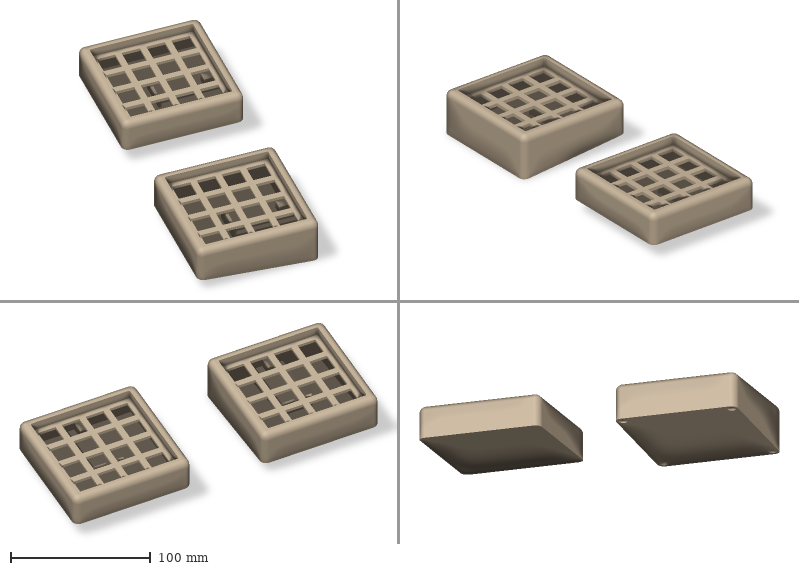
import cadquery as cq
import math

total_length = 243.2
case_side = 93.1
unit_spacing = total_length - case_side
half_side = case_side / 2

case_top = 24.5
lid_height = 10.0
lid_bottom = case_top - lid_height
tilt_depth = 10.5
tilt_slope = math.tan(math.radians(5.0))

corner_radius = 5.0
top_round = 4.9
wall = 5.0
inner_side = case_side - 2 * wall
inner_back = inner_side / 2
flat_floor_thickness = 1.5
tilted_floor_thickness = 3.5

window_side = 79.3
window_depth = 7.0
window_corner_radius = 1.0
plate_top = case_top - window_depth
key_hole_side = 14.0
keys_per_side = 4
first_to_last_key = 57.1
key_pitch = first_to_last_key / (keys_per_side - 1)
clip_thickness = 1.5
clip_relief = 0.5

board_width = 17.5
board_front = -3.5
board_thickness = 1.5
connector_width = 7.3
connector_front = 31.5
connector_height = 6.3
tray_width = 25.3
stop_front = -6.5
stop_depth = 2.2
stop_height = 6.3

head_diameter = 6.0
head_depth = 2.0
head_spacing = case_side - 2 * corner_radius


def make_bar(width, y_front, y_back, z_bottom, z_top):
    """Rectangular block centred on X, given by its ends along Y and Z."""
    middle = (y_front + y_back) / 2
    bar = cq.Workplane("XY", origin=(0, middle, z_bottom))
    return bar.rect(width, y_back - y_front).extrude(z_top - z_bottom)


def make_square_block(side, z_bottom, z_top):
    """Square block centred on X and Y, between two heights."""
    return make_bar(side, -side / 2, side / 2, z_bottom, z_top)


def make_case_block(z_bottom, z_top):
    """Outer case shape with rounded upright corners."""
    return make_square_block(case_side, z_bottom, z_top).edges("|Z").fillet(corner_radius)


def make_key_holes(side, z_bottom, z_top):
    """Grid of square key openings."""
    grid = cq.Workplane("XY", origin=(0, 0, z_bottom))
    grid = grid.rarray(key_pitch, key_pitch, keys_per_side, keys_per_side)
    return grid.rect(side, side).extrude(z_top - z_bottom)


def make_lid():
    """Rounded lid with a window sunk to the key plate; the key holes widen below the clip ledge."""
    lid = make_case_block(lid_bottom, case_top).faces(">Z").edges().fillet(top_round)
    window = make_square_block(window_side, plate_top, case_top)
    lid = lid.cut(window.edges("|Z").fillet(window_corner_radius))
    clip_bottom = plate_top - clip_thickness
    lid = lid.cut(make_key_holes(key_hole_side, clip_bottom, plate_top))
    return lid.cut(make_key_holes(key_hole_side + 2 * clip_relief, lid_bottom, clip_bottom))


def make_board_stop():
    """Cross bar that keeps the board from sliding forward."""
    stop_back = stop_front + stop_depth
    return make_bar(tray_width, stop_front, stop_back, 0, flat_floor_thickness + stop_height)


def make_flat_base():
    """Open box with a level floor and the board stop."""
    cavity = make_square_block(inner_side, flat_floor_thickness, lid_bottom)
    return make_case_block(0, lid_bottom).cut(cavity).union(make_board_stop())


def make_space_above_slope(side, lift):
    """Square column whose bottom lies parallel to the tilted underside, raised by the given lift."""
    half = side / 2
    back_height = lift - tilt_depth + (half_side - half) * tilt_slope
    front_height = back_height + side * tilt_slope
    profile = [
        (-half, front_height),
        (half, back_height),
        (half, lid_bottom),
        (-half, lid_bottom),
    ]
    return cq.Workplane("YZ", origin=(-half, 0, 0)).polyline(profile).close().extrude(side)


def make_head_recesses():
    """Upright corner cylinders reaching from below the base to the recess depth."""
    grid = cq.Workplane("XY", origin=(0, 0, -tilt_depth))
    grid = grid.rarray(head_spacing, head_spacing, 2, 2)
    columns = grid.circle(head_diameter / 2).extrude(tilt_depth)
    return columns.cut(make_space_above_slope(case_side, head_depth))


def make_tilted_base():
    """Wedge-shaped box with a sloped floor and a level tray carrying the board."""
    wedge = make_space_above_slope(case_side, 0)
    base = make_case_block(-tilt_depth, lid_bottom).intersect(wedge)
    base = base.cut(make_space_above_slope(inner_side, tilted_floor_thickness))
    tray = make_bar(tray_width, stop_front, inner_back, -tilt_depth, flat_floor_thickness)
    base = base.union(tray.intersect(wedge)).union(make_board_stop())
    return base.cut(make_head_recesses())


def make_board():
    """Controller board with its cable connector against the back wall."""
    board_top = flat_floor_thickness + board_thickness
    connector_top = board_top + connector_height
    board = make_bar(board_width, board_front, inner_back, flat_floor_thickness, board_top)
    connector = make_bar(connector_width, connector_front, inner_back, board_top, connector_top)
    return board.union(connector)


bodies = []
for unit_x, make_base in ((0, make_flat_base), (unit_spacing, make_tilted_base)):
    for body in (make_lid(), make_base(), make_board()):
        bodies.append(body.translate((unit_x, 0, 0)).val())

result = cq.Compound.makeCompound(bodies)